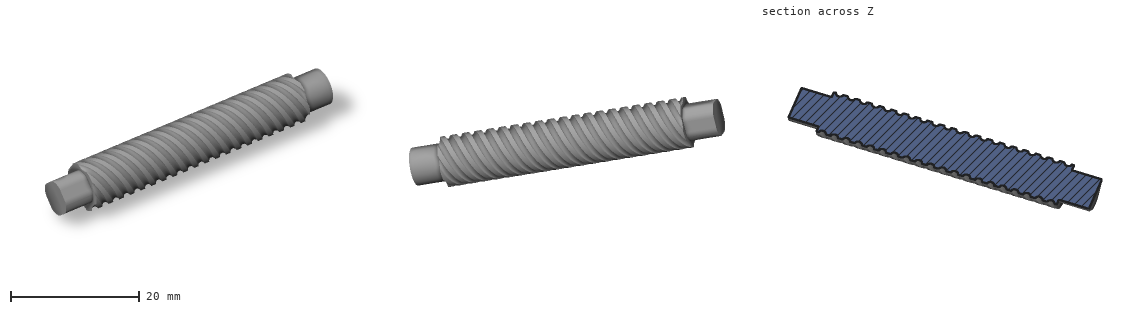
import cadquery as cq
import math

total_length = 50.0
journal_length = 5.0
journal_diameter = 6.0
body_diameter = 8.0
body_length = total_length - 2 * journal_length

groove_count = 6
groove_radius = 0.5
groove_lead = 12.0
groove_first_angle = 30.0
groove_overrun = 1.0

drive_flat_width = 5.45
drive_edge_radius = 1.4


def make_body():
    """Grooved cylinder, built along Z and centred on the origin."""
    body = cq.Workplane("XY").cylinder(body_length, body_diameter / 2)
    body = body.rotate((0, 0, 0), (0, 0, 1), 90)
    groove = make_groove()
    start_angle = groove_first_angle - 360.0 * groove_overrun / groove_lead
    grooves = []
    for index in range(groove_count):
        angle = start_angle + index * 360.0 / groove_count
        grooves.append(groove.rotate((0, 0, 0), (0, 0, 1), angle).val())
    return cq.Workplane(body.val().cut(*grooves))


def make_groove():
    """Helical round rod centred on the body surface, running past both body ends."""
    radius = body_diameter / 2
    start_z = -body_length / 2 - groove_overrun
    height = body_length + 2 * groove_overrun
    path = cq.Wire.makeHelix(groove_lead, height, radius, center=cq.Vector(0, 0, start_z))
    tangent = cq.Vector(0, 2 * math.pi * radius, groove_lead)
    section_plane = cq.Plane(origin=(radius, 0, start_z), xDir=(1, 0, 0), normal=tangent)
    return cq.Workplane(section_plane).circle(groove_radius).sweep(path, isFrenet=True)


def make_journal():
    """Plain round end above the body."""
    base = cq.Workplane("XY", origin=(0, 0, body_length / 2))
    return base.circle(journal_diameter / 2).extrude(journal_length)


def make_drive_end():
    """Round end below the body with four flats facing the diagonals."""
    base = cq.Workplane("XY", origin=(0, 0, -total_length / 2))
    square = base.rect(drive_flat_width, drive_flat_width).extrude(journal_length)
    diamond = square.rotate((0, 0, 0), (0, 0, 1), 45)
    round_end = base.circle(journal_diameter / 2).extrude(journal_length)
    round_end = round_end.rotate((0, 0, 0), (0, 0, 1), 45)
    return round_end.intersect(diamond).edges("|Z").fillet(drive_edge_radius)


shaft = make_body().union(make_journal(), clean=False).union(make_drive_end(), clean=False)
result = shaft.rotate((0, 0, 0), (1, 0, 0), -90)